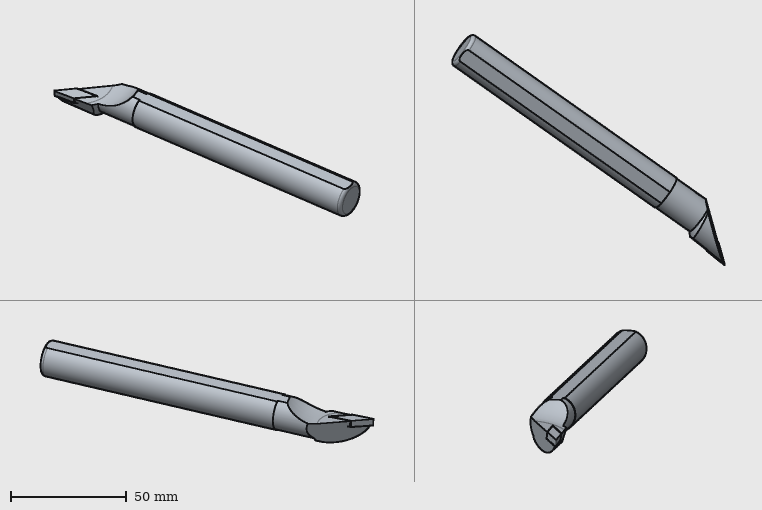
import cadquery as cq
import math


total_length = 149.15
shank_radius = 8.0
neck_radius = 7.75
neck_end_x = 39.4
flat_height = 7.35
end_round_radius = 1.6

head_radius = 9.25
head_offset_y = shank_radius - head_radius
taper_angle = 45.0
neck_start_x = 21.2

nose_y = -10.93
nose_z = 0.0
rake_angle = 7.5

insert_side = 10.4
insert_thickness = 3.1
insert_point_angle = 35.0
lead_angle = 3.3
nose_radius = 0.2
insert_proud = 0.25

back_flank_angle = lead_angle + insert_point_angle
front_relief_angle = 16.0

gullet_x = 8.0
gullet_y = 0.0
gullet_floor_radius = 12.8
gullet_arc_radius = 20.5
gullet_arc_angle = 55.0

cutter_size = 60.0


def direction(angle):
    """Unit vector in the XY plane at an angle in degrees from +X."""
    return cq.Vector(math.cos(math.radians(angle)), math.sin(math.radians(angle)))


rake = math.radians(rake_angle)
rake_normal = cq.Vector(0, -math.sin(rake), math.cos(rake))


def rake_plane(x, y):
    """Plane of the insert's top face, with its origin at the given X and Y."""
    z = nose_z + (y - nose_y) * math.tan(rake)
    return cq.Plane(origin=(x, y, z), xDir=(1, 0, 0), normal=rake_normal)


def make_insert():
    front = direction(lead_angle) * insert_side
    back = direction(back_flank_angle) * insert_side
    half_point = math.radians(insert_point_angle / 2)
    arc_centre = direction(lead_angle + insert_point_angle / 2) * (nose_radius / math.sin(half_point))
    corner = cq.Vector(nose_radius - arc_centre.x, nose_radius - arc_centre.y)
    points = [corner, corner + front, corner + front + back, corner + back]
    return (
        cq.Workplane(rake_plane(0, nose_y))
        .polyline([(p.x, p.y) for p in points])
        .close()
        .extrude(-insert_thickness)
        .edges(cq.selectors.ParallelDirSelector(rake_normal))
        .edges("<X")
        .fillet(nose_radius)
    )


def make_shank():
    return (
        cq.Workplane("YZ")
        .workplane(offset=neck_end_x)
        .circle(shank_radius)
        .extrude(total_length - neck_end_x)
        .faces(">X")
        .edges()
        .fillet(end_round_radius)
    )


def make_head():
    """Offset cylinder kept inside a cone that is coaxial with the neck."""
    cylinder = (
        cq.Workplane("YZ").center(head_offset_y, 0).circle(head_radius).extrude(neck_start_x)
    )
    cone_front_radius = neck_radius + neck_start_x * math.tan(math.radians(taper_angle))
    cone = cq.Workplane(
        cq.Solid.makeCone(
            cone_front_radius, neck_radius, neck_start_x, pnt=cq.Vector(), dir=cq.Vector(1, 0, 0)
        )
    )
    return cylinder.intersect(cone)


def flat_cutter(side):
    """Everything beyond a flat on the upper (side = 1) or lower (side = -1) half of the bar."""
    return (
        cq.Workplane("XY")
        .workplane(offset=side * flat_height)
        .rect(2 * total_length, cutter_size)
        .extrude(side * cutter_size)
    )


def gullet_cutter():
    """Bowl around an axis square to the rake face, opened out flat towards the nose."""
    plane = cq.Workplane(rake_plane(gullet_x, gullet_y)).workplane(offset=-insert_proud).plane
    profile_plane = cq.Plane(
        origin=plane.origin, xDir=plane.xDir, normal=plane.xDir.cross(plane.zDir)
    )
    angle = math.radians(gullet_arc_angle)

    def arc_point(a):
        return (
            gullet_floor_radius + gullet_arc_radius * math.sin(a),
            gullet_arc_radius * (1 - math.cos(a)),
        )

    end = arc_point(angle)
    bowl = (
        cq.Workplane(profile_plane)
        .lineTo(gullet_floor_radius, 0)
        .threePointArc(arc_point(angle / 2), end)
        .lineTo(0, end[1])
        .close()
        .revolve(360, (0, 0), (0, 1))
    )
    floor = (
        cq.Workplane(plane)
        .center(-cutter_size / 2, 0)
        .rect(cutter_size, cutter_size)
        .extrude(cutter_size)
    )
    return bowl.union(floor)


def back_flank_cutter():
    """Everything behind the slanted, upright +Y side of the head."""
    return (
        cq.Workplane("XY", origin=(0, nose_y, nose_z))
        .transformed(rotate=(0, 0, back_flank_angle))
        .center(0, cutter_size / 2)
        .rect(2 * cutter_size, cutter_size)
        .extrude(cutter_size, both=True)
    )


def front_flank_cutter():
    """Everything outside the relieved cutting side of the head."""
    lean = math.radians(front_relief_angle)
    lead = math.radians(lead_angle)
    outward = (
        math.sin(lead) * math.cos(lean),
        -math.cos(lead) * math.cos(lean),
        -math.sin(lean),
    )
    flank = cq.Plane(
        origin=(0, nose_y, nose_z), xDir=direction(lead_angle).toTuple(), normal=outward
    )
    return cq.Workplane(flank).rect(cutter_size, cutter_size).extrude(cutter_size)


neck = cq.Workplane("YZ").circle(neck_radius).extrude(neck_end_x)
insert = make_insert()
head = make_head().union(neck).cut(front_flank_cutter())
shank = make_shank().cut(flat_cutter(-1))
bar = (
    head.union(shank)
    .cut(flat_cutter(1))
    .cut(gullet_cutter())
    .cut(back_flank_cutter())
    .cut(insert)
)
result = cq.Compound.makeCompound([bar.val(), insert.val()])